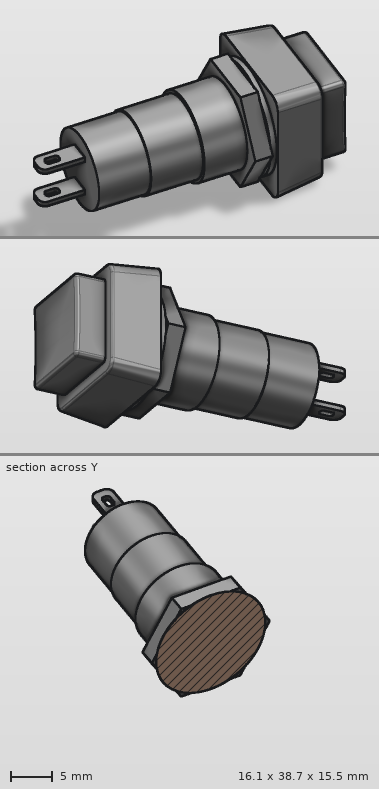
import cadquery as cq
import math


overall_length = 38.68

bezel_width = 15.47
bezel_depth = 6.35
bezel_draft = 5.0
bezel_corner_radius = 1.55
bezel_edge_radius = 0.35

button_width = 11.02
button_corner_radius = 0.58
button_edge_radius = 0.45
dish_depth = 0.15

flange_diameter = 14.9
flange_depth = 0.8
nut_across_corners = 16.05
nut_depth = 2.32
barrel_steps = [(11.72, 5.7), (10.83, 6.9), (10.45, 6.85)]

terminal_width = 2.75
terminal_thickness = 0.7
terminal_length = 5.8
terminal_pitch = 5.03
terminal_corner_radius = 0.95
eyelet_width = 1.05
eyelet_length = 1.8
eyelet_corner_radius = 0.4
eyelet_from_tip = 2.13

barrel_length = sum(length for _, length in barrel_steps)
button_front = overall_length - flange_depth - nut_depth - barrel_length - terminal_length


def section_at(y):
    """Sketch plane at the given Y, with its normal pointing to -Y."""
    return cq.Workplane("XZ", origin=(0, y, 0))


def make_bezel():
    front_width = bezel_width - 2 * bezel_depth * math.tan(math.radians(bezel_draft))
    body = (
        section_at(bezel_depth)
        .rect(front_width, front_width)
        .workplane(offset=bezel_depth)
        .rect(bezel_width, bezel_width)
        .loft(ruled=True)
    )
    body = body.edges("not(#Y)").fillet(bezel_corner_radius)
    return body.faces(">Y").edges().fillet(bezel_edge_radius)


def make_button():
    half = button_width / 2
    dish_radius = (half**2 + dish_depth**2) / (2 * dish_depth)
    rounding_offset = half - button_edge_radius
    dish_axis_to_rounding = math.sqrt((dish_radius + button_edge_radius) ** 2 - rounding_offset**2)
    dish_axis_y = button_front - button_edge_radius + dish_axis_to_rounding
    dish_bottom = dish_axis_y - dish_radius
    front = dish_bottom + dish_depth
    body = (
        cq.Workplane("YZ", origin=(-half, 0, 0))
        .moveTo(bezel_depth, -half)
        .lineTo(front, -half)
        .threePointArc((dish_bottom, 0), (front, half))
        .lineTo(bezel_depth, half)
        .close()
        .extrude(button_width)
    )
    body = body.edges("|Y").fillet(button_corner_radius)
    return body.faces(">Y").edges().fillet(button_edge_radius)


def make_terminal(z, rear):
    """Flat terminal centred at height z, reaching back from the barrel's rear face."""
    tip = rear - terminal_length
    blade = (
        cq.Workplane("XY")
        .box(terminal_width, terminal_length, terminal_thickness)
        .translate((0, rear - terminal_length / 2, z))
        .edges("|Z and <Y")
        .fillet(terminal_corner_radius)
    )
    eyelet = (
        cq.Workplane("XY", origin=(0, tip + eyelet_from_tip, z))
        .rect(eyelet_width, eyelet_length)
        .extrude(terminal_thickness, both=True)
        .edges("|Z")
        .fillet(eyelet_corner_radius)
    )
    return blade.cut(eyelet)


result = make_bezel().union(make_button())

result = result.union(section_at(0).circle(flange_diameter / 2).extrude(flange_depth))
rear_y = -flange_depth
result = result.union(section_at(rear_y).polygon(6, nut_across_corners).extrude(nut_depth))
rear_y -= nut_depth

for diameter, length in barrel_steps:
    result = result.union(section_at(rear_y).circle(diameter / 2).extrude(length))
    rear_y -= length

for side in (-1, 1):
    result = result.union(make_terminal(side * terminal_pitch / 2, rear_y))